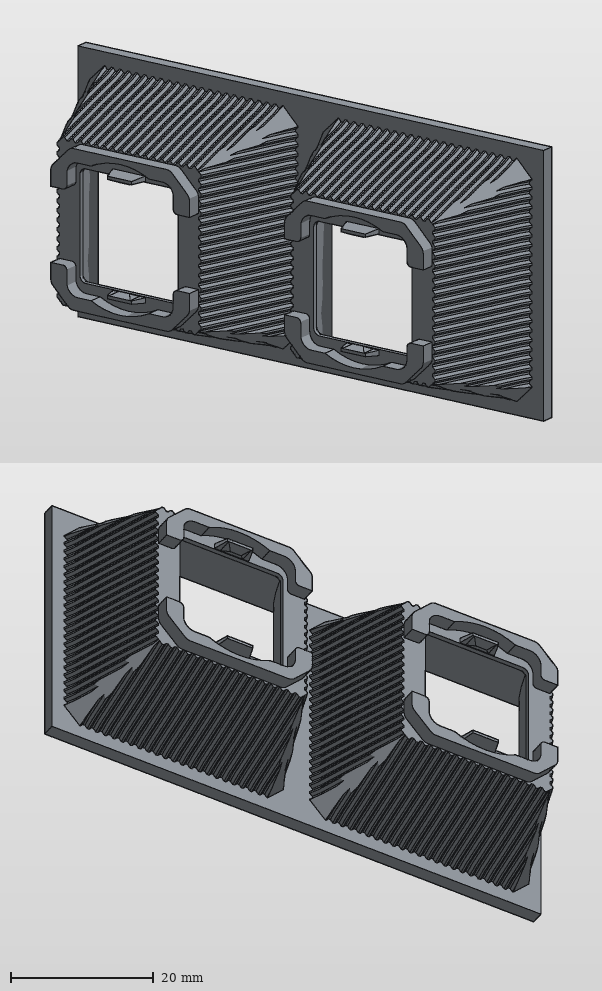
import cadquery as cq

plate_length = 80.2
plate_height = 40.0
plate_thickness = 2.0
tower_spacing = 40.3

tower_depth = 17.65
base_half = 18.0
rim_half = 12.4
wall_stations = [
    (plate_thickness, base_half),
    (3.4, 17.3),
    (9.4, 15.3),
    (tower_depth, rim_half),
]
base_corner_cut = 2.6
rim_corner_cut = 1.05

ridge_pitch = 1.4
ridges_per_side = 11
ridge_height = 0.44
crest_width = 0.3
root_width = 0.3
slab_half_width = base_half + ridge_pitch

opening_size = 16.9
opening_corner_radius = 1.05
lip_length = 0.7
funnel_stations = [
    (0.0, 18.0),
    (6.4, 13.7),
    (tower_depth - lip_length, opening_size / 2),
]

bracket_depth = 19.8
bracket_half = 11.95
bracket_corner_cut = 3.4
bracket_corner_blend = 1.4
leg_end = 5.6
leg_inner = 9.15
leg_tip_radius = 0.7
bridge_inner = 9.95
bridge_inner_radius = 1.85
arch_half_width = 5.0
arch_top = 11.15

lug_depth = 20.0
lug_outer = 9.4
lug_shoulder = 8.6
lug_tip = 8.0
lug_front_outer = 9.1
lug_tip_depth = 18.8
lug_base_half_width = 2.8
lug_front_half_width = 2.1
lug_neck_half_width = 1.85
lug_tip_half_width = 0.9


def loft_outlines(outlines, ruled=True):
    """Solid through closed outlines given as (depth, points), its walls straight or curved."""
    work = cq.Workplane("XZ")
    last_depth = 0.0
    for depth, points in outlines:
        work = work.workplane(offset=depth - last_depth).polyline(points).close()
        last_depth = depth
    return work.loft(ruled=ruled)


def square_points(half):
    return [(-half, -half), (half, -half), (half, half), (-half, half)]


def diamond_points(reach):
    return [(0, -reach), (reach, 0), (0, reach), (-reach, 0)]


def corrugated_points(crest):
    """Quarter of a slab outline, with ridges along its +Z edge from its middle outward."""
    root = crest - ridge_height
    half_crest = crest_width / 2
    half_foot = (ridge_pitch - root_width) / 2
    points = [(0, 0), (0, crest), (half_crest, crest), (half_foot, root)]
    for index in range(1, ridges_per_side + 1):
        center = index * ridge_pitch
        points += [
            (center - half_foot, root),
            (center - half_crest, crest),
            (center + half_crest, crest),
            (center + half_foot, root),
        ]
    return points + [(slab_half_width, root), (slab_half_width, 0)]


def make_tower_body():
    """Solid tower, made as a quarter from two crossed corrugated slabs and then mirrored."""
    slab = loft_outlines([(depth, corrugated_points(crest)) for depth, crest in wall_stations])
    crossed_slab = slab.rotate((0, 0, 0), (0, 1, 0), 90).mirror("XY")
    corner_limits = loft_outlines([
        (plate_thickness, diamond_points(2 * base_half - base_corner_cut)),
        (tower_depth, diamond_points(2 * rim_half - rim_corner_cut)),
    ])
    quarter = slab.intersect(corner_limits).intersect(crossed_slab)
    half = quarter.union(quarter.mirror("YZ"))
    return half.union(half.mirror("XY"))


def make_opening():
    funnel = loft_outlines(
        [(depth, square_points(half)) for depth, half in funnel_stations],
        ruled=False,
    )
    lip = (
        cq.Workplane("XZ", origin=(0, -(tower_depth - lip_length), 0))
        .rect(opening_size, opening_size)
        .extrude(lip_length)
        .edges("|Y")
        .fillet(opening_corner_radius)
    )
    return funnel.union(lip)


def make_bracket():
    """Bracket above the opening, with a leg down each side."""
    shoulder = bracket_half - bracket_corner_cut
    height = bracket_depth - tower_depth
    bracket = (
        cq.Workplane("XZ", origin=(0, -tower_depth, 0))
        .moveTo(-bracket_half, leg_end)
        .lineTo(-bracket_half, shoulder)
        .lineTo(-shoulder, bracket_half)
        .lineTo(shoulder, bracket_half)
        .lineTo(bracket_half, shoulder)
        .lineTo(bracket_half, leg_end)
        .lineTo(leg_inner, leg_end)
        .lineTo(leg_inner, bridge_inner)
        .lineTo(arch_half_width, bridge_inner)
        .threePointArc((0, arch_top), (-arch_half_width, bridge_inner))
        .lineTo(-leg_inner, bridge_inner)
        .lineTo(-leg_inner, leg_end)
        .close()
        .extrude(height)
    )
    middle = -(tower_depth + bracket_depth) / 2

    def upright_edges(x, z):
        corner_points = [(side * x, middle, z) for side in (-1, 1)]
        selectors = [cq.selectors.NearestToPointSelector(point) for point in corner_points]
        return bracket.edges(cq.selectors.SumSelector(*selectors))

    bracket = upright_edges(shoulder, bracket_half).fillet(bracket_corner_blend)
    bracket = upright_edges(bracket_half, shoulder).fillet(bracket_corner_blend)
    bracket = upright_edges(leg_inner, bridge_inner).fillet(bridge_inner_radius)
    return upright_edges(leg_inner, leg_end).fillet(leg_tip_radius)


def make_lug():
    """Lug above the opening: ramped in front, narrowing forward and toward its tip."""
    side_profile = (
        cq.Workplane("YZ")
        .polyline([
            (-tower_depth, lug_outer),
            (-lug_depth, lug_front_outer),
            (-lug_depth, lug_shoulder),
            (-lug_tip_depth, lug_tip),
            (-tower_depth, lug_shoulder),
        ])
        .close()
        .extrude(lug_base_half_width, both=True)
    )
    plan_profile = (
        cq.Workplane("XY")
        .polyline([
            (-lug_base_half_width, -tower_depth),
            (-lug_front_half_width, -lug_depth),
            (lug_front_half_width, -lug_depth),
            (lug_base_half_width, -tower_depth),
        ])
        .close()
        .extrude(lug_outer)
    )
    front_profile = (
        cq.Workplane("XZ")
        .moveTo(-lug_base_half_width, lug_outer)
        .lineTo(-lug_base_half_width, lug_shoulder)
        .lineTo(-lug_neck_half_width, lug_shoulder)
        .lineTo(-lug_tip_half_width, lug_tip)
        .lineTo(lug_tip_half_width, lug_tip)
        .lineTo(lug_neck_half_width, lug_shoulder)
        .lineTo(lug_base_half_width, lug_shoulder)
        .lineTo(lug_base_half_width, lug_outer)
        .close()
        .extrude(lug_depth)
    )
    return side_profile.intersect(plan_profile).intersect(front_profile)


tower_shift = (tower_spacing / 2, 0, 0)
opening = make_opening()
rim_parts = make_bracket().union(make_lug())
tower = make_tower_body().cut(opening)
tower = tower.union(rim_parts).union(rim_parts.mirror("XY"))

half_plate = (
    cq.Workplane("XZ")
    .rect(plate_length / 2, plate_height)
    .extrude(plate_thickness)
    .translate((plate_length / 4, 0, 0))
    .cut(opening.translate(tower_shift))
)
half_part = half_plate.union(tower.translate(tower_shift))
result = half_part.union(half_part.mirror("YZ"))